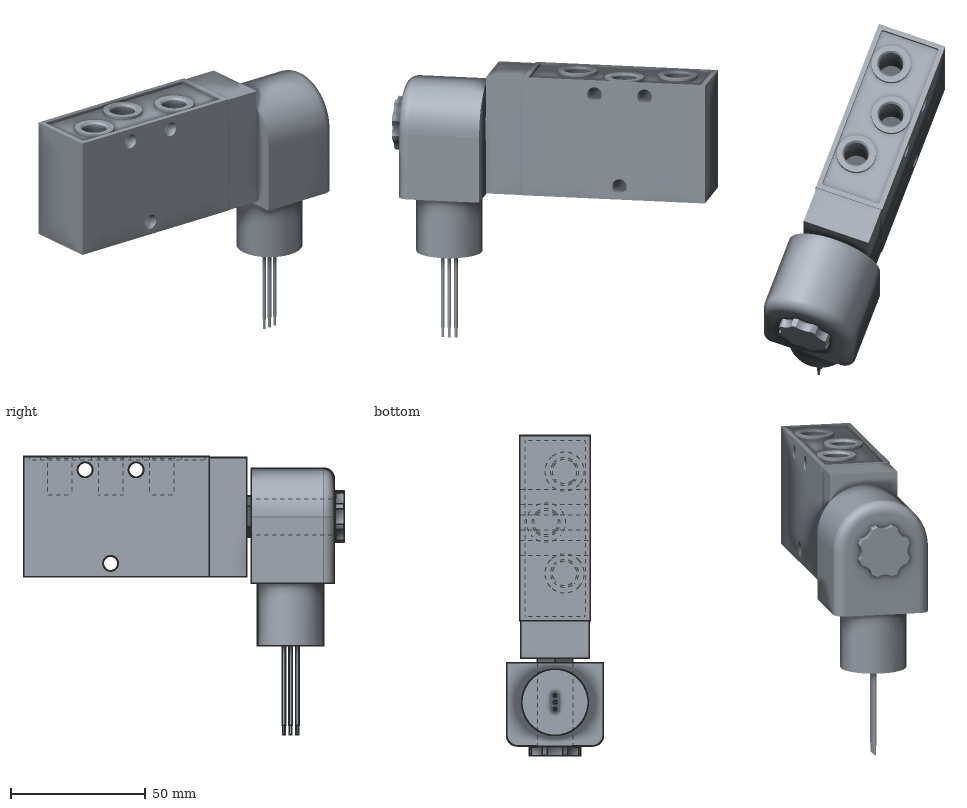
import cadquery as cq
import math

VALVE_WIDTH = 26.2
VALVE_LENGTH = 69.1
VALVE_HEIGHT = 44.9
PANEL_MARGIN = 1.8
PANEL_DEPTH = 1.2
PANEL_CORNER_RADIUS = 0.7
PORT_PITCH = 19.0
MIDDLE_PORT_Y = 32.3
PORT_OFFSET_X = 3.5
PORT_BOSS_DIAMETER = 14.5
PORT_MOUTH_DIAMETER = 10.4
PORT_BORE_DIAMETER = 9.1
PORT_DEPTH = 14.3
CROSS_HOLE_DIAMETER = 5.5
CROSS_HOLE_EDGE_DISTANCE = 5.0

ADAPTER_WIDTH = 25.6
ADAPTER_LENGTH = 14.0
ADAPTER_STEP_DOWN = 0.4
ADAPTER_HEIGHT = VALVE_HEIGHT - ADAPTER_STEP_DOWN
AXIS_Z = VALVE_HEIGHT / 2
HEX_ACROSS_FLATS = 13.4
HEX_LENGTH = 1.5
STEM_DIAMETER = HEX_ACROSS_FLATS
KNOB_GAP = 0.4
KNOB_RADIUS = 10.0
KNOB_CHAMFER = 0.2
SCALLOP_COUNT = 8
SCALLOP_HALF_ANGLE = 16.5
SCALLOP_RADIUS = 4.5

COIL_RADIUS = 18.0
COIL_LENGTH = 31.0
COIL_BOTTOM_Z = -2.4
COIL_FILLET = 4.0
NECK_DIAMETER = 24.7
NECK_LENGTH = 23.3
NECK_BACK_SETBACK = 3.9
WIRE_DIAMETER = 1.3
WIRE_LENGTH = 29.5
WIRE_PITCH = 2.5
WIRE_END_DIAMETER = 1.0
WIRE_END_LENGTH = 3.7

TOTAL_LENGTH = 119.3

ADAPTER_BACK_Y = VALVE_LENGTH + ADAPTER_LENGTH
COIL_FRONT_Y = ADAPTER_BACK_Y + HEX_LENGTH
COIL_BACK_Y = COIL_FRONT_Y + COIL_LENGTH
KNOB_FRONT_Y = COIL_BACK_Y + KNOB_GAP
KNOB_THICKNESS = TOTAL_LENGTH - KNOB_FRONT_Y
NECK_Y = COIL_BACK_Y - NECK_BACK_SETBACK - NECK_DIAMETER / 2
NECK_BOTTOM_Z = COIL_BOTTOM_Z - NECK_LENGTH


def xz_plane(y):
    """Plane facing +Y at distance y; its local x points to -X and its origin lies on the coil axis."""
    return cq.Plane(origin=(0, y, AXIS_Z), xDir=(-1, 0, 0), normal=(0, 1, 0))


def block(width, length, height, front_y):
    return cq.Workplane("XY").box(width, length, height, centered=(True, False, False)).translate((0, front_y, 0))


def cylinder_down(x, y, top_z, diameter, depth):
    return cq.Workplane("XY", origin=(x, y, top_z)).circle(diameter / 2).extrude(-depth)


def port_centers():
    """Outer ports lie on the +X side and the middle port on the -X side."""
    return [
        (PORT_OFFSET_X, MIDDLE_PORT_Y - PORT_PITCH),
        (-PORT_OFFSET_X, MIDDLE_PORT_Y),
        (PORT_OFFSET_X, MIDDLE_PORT_Y + PORT_PITCH),
    ]


def top_panel():
    """Recess in the top face; the port bosses stay standing in it, level with the rim."""
    length = VALVE_LENGTH - 2 * PANEL_MARGIN
    recess = block(VALVE_WIDTH - 2 * PANEL_MARGIN, length, PANEL_DEPTH, PANEL_MARGIN)
    recess = recess.edges("|Z").fillet(PANEL_CORNER_RADIUS).translate((0, 0, VALVE_HEIGHT - PANEL_DEPTH))
    for x, y in port_centers():
        recess = recess.cut(cylinder_down(x, y, VALVE_HEIGHT, PORT_BOSS_DIAMETER, PANEL_DEPTH))
    return recess


def port_bore(x, y):
    """Blind bore with a 45 degree countersink from the mouth diameter down to the bore diameter."""
    countersink_depth = (PORT_MOUTH_DIAMETER - PORT_BORE_DIAMETER) / 2
    bore = cylinder_down(x, y, VALVE_HEIGHT, PORT_BORE_DIAMETER, PORT_DEPTH)
    mouth = cq.Solid.makeCone(
        PORT_MOUTH_DIAMETER / 2,
        PORT_BORE_DIAMETER / 2,
        countersink_depth,
        pnt=cq.Vector(x, y, VALVE_HEIGHT),
        dir=cq.Vector(0, 0, -1),
    )
    return bore.union(cq.Workplane(mouth))


def cross_holes():
    high = VALVE_HEIGHT - CROSS_HOLE_EDGE_DISTANCE
    low = CROSS_HOLE_EDGE_DISTANCE
    centers = [
        (MIDDLE_PORT_Y - PORT_PITCH / 2, high),
        (MIDDLE_PORT_Y + PORT_PITCH / 2, high),
        (MIDDLE_PORT_Y, low),
    ]
    holes = cq.Workplane("YZ").pushPoints(centers).circle(CROSS_HOLE_DIAMETER / 2)
    return holes.extrude(VALVE_WIDTH / 2, both=True)


def make_valve():
    valve = block(VALVE_WIDTH, VALVE_LENGTH, VALVE_HEIGHT, 0)
    valve = valve.cut(top_panel())
    for x, y in port_centers():
        valve = valve.cut(port_bore(x, y))
    return valve.cut(cross_holes())


def axial_cylinder(diameter, front_y, back_y):
    return cq.Workplane(xz_plane(front_y)).circle(diameter / 2).extrude(back_y - front_y)


def scalloped_knob():
    half_angle = math.radians(SCALLOP_HALF_ANGLE)
    half_chord = KNOB_RADIUS * math.sin(half_angle)
    scallop_distance = KNOB_RADIUS * math.cos(half_angle) + math.sqrt(SCALLOP_RADIUS**2 - half_chord**2)
    disc = axial_cylinder(2 * KNOB_RADIUS, KNOB_FRONT_Y, TOTAL_LENGTH)
    disc = disc.faces(">Y").chamfer(KNOB_CHAMFER)
    scallops = (
        cq.Workplane(xz_plane(KNOB_FRONT_Y))
        .polarArray(scallop_distance, 0, 360, SCALLOP_COUNT)
        .circle(SCALLOP_RADIUS)
        .extrude(KNOB_THICKNESS)
    )
    return disc.cut(scallops)


def make_operator():
    adapter = block(ADAPTER_WIDTH, ADAPTER_LENGTH, ADAPTER_HEIGHT, VALVE_LENGTH)
    across_corners = HEX_ACROSS_FLATS / math.cos(math.pi / 6)
    hexagon = cq.Workplane(xz_plane(ADAPTER_BACK_Y)).transformed(rotate=(0, 0, 90))
    hexagon = hexagon.polygon(6, across_corners).extrude(HEX_LENGTH)
    stem = axial_cylinder(STEM_DIAMETER, COIL_FRONT_Y, KNOB_FRONT_Y)
    return adapter.union(hexagon).union(stem).union(scalloped_knob())


def coil_housing():
    drop = COIL_BOTTOM_Z - AXIS_Z
    outline = (
        cq.Workplane(xz_plane(COIL_FRONT_Y))
        .moveTo(-COIL_RADIUS, drop)
        .lineTo(-COIL_RADIUS, 0)
        .threePointArc((0, COIL_RADIUS), (COIL_RADIUS, 0))
        .lineTo(COIL_RADIUS, drop)
        .close()
    )
    housing = outline.extrude(COIL_LENGTH)
    housing = housing.faces(">Y").edges("not <Z").fillet(COIL_FILLET)
    return housing.cut(axial_cylinder(STEM_DIAMETER, COIL_FRONT_Y, COIL_BACK_Y))


def wire(y):
    """Insulated wire hanging from the neck, with a thinner bare end."""
    insulated = cylinder_down(0, y, NECK_BOTTOM_Z, WIRE_DIAMETER, WIRE_LENGTH)
    bare_end = cylinder_down(0, y, NECK_BOTTOM_Z - WIRE_LENGTH, WIRE_END_DIAMETER, WIRE_END_LENGTH)
    return insulated.union(bare_end)


def make_coil():
    coil = coil_housing().union(cylinder_down(0, NECK_Y, COIL_BOTTOM_Z, NECK_DIAMETER, NECK_LENGTH))
    for i in (-1, 0, 1):
        coil = coil.union(wire(NECK_Y + i * WIRE_PITCH))
    return coil


valve = make_valve()
operator = make_operator()
coil = make_coil()

result = cq.Compound.makeCompound([valve.val(), operator.val(), coil.val()])